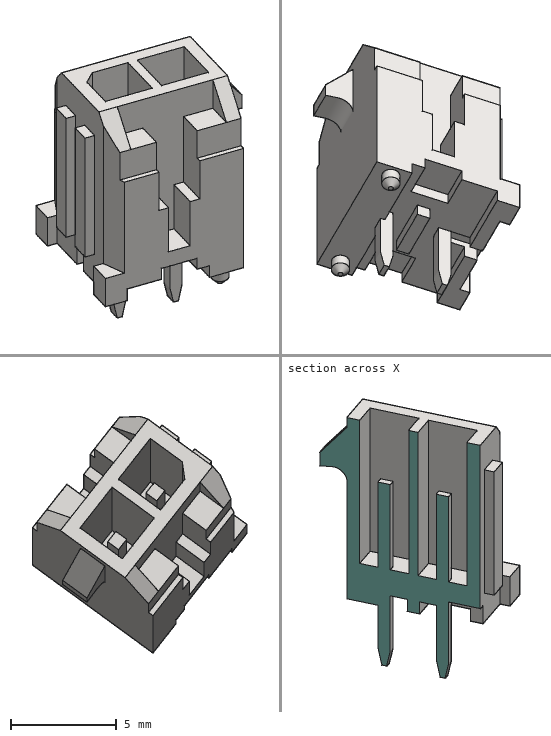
import cadquery as cq


width = 7.15
depth = 6.86
height = 9.88
shoulder_width = 6.62
ledge_z = 6.73
shelf_z = 8.27
core_width = 3.84
bevel_width = 1.2
bevel_depth = 0.5
front_flat_width = width - 2 * bevel_width

mid_y = depth / 2
shelf_front_y = 0.98
shelf_back_y = 6.07
wide_slot_width = 2.17
wide_slot_z = 4.58
narrow_slot_width = 1.15
narrow_slot_z = 2.1
base_notch_width = 1.9
base_notch_top = 1.27

channel_front_y = 0.65
channel_back_y = 5.04
channel_height = 0.65

contact_mid_y = 3.44
contact_pitch = 3.0
contact_ys = [contact_mid_y - contact_pitch / 2, contact_mid_y + contact_pitch / 2]
socket_size = 2.5
socket_floor_z = narrow_slot_z
socket_key = 0.6
pin_size = 0.64
pin_top_z = ledge_z
pin_bottom_z = -3.21
pin_taper_z = -2.35
pin_tip = 0.26
groove_top = 0.98
divider_length = socket_size
divider_thickness = pin_size

front_projection = 0.51
foot_height = 1.6
rib_width = 1.01
rib_offset = 0.97
rib_top_z = 8.3

latch_width = 1.44
latch_reach = 1.4
latch_top_z = 9.35
latch_nose_top_z = 7.67
latch_nose_bottom_z = 6.92
latch_arc_reach = 0.76
latch_arc_z = 7.02
latch_root_z = 6.4

peg_x = 3.0
peg_y = 5.89
peg_radius = 0.43
peg_tip_radius = 0.12
peg_straight = 0.54
peg_length = 0.86


def block(x0, x1, y0, y1, z0, z1):
    """Box between opposite corners."""
    return cq.Workplane("XY").box(x1 - x0, y1 - y0, z1 - z0, centered=False).translate((x0, y0, z0))


def centred_block(size_x, y0, y1, z0, z1):
    """Box centred on the mid-plane."""
    return block(-size_x / 2, size_x / 2, y0, y1, z0, z1)


def make_housing():
    """Stepped, sloped front outline with bevelled front vertical corners."""
    half_outline = [
        (0, 0),
        (width / 2, 0),
        (width / 2, ledge_z),
        (shoulder_width / 2, ledge_z),
        (shoulder_width / 2, shelf_z),
        (core_width / 2, height),
        (0, height),
    ]
    half = cq.Workplane("XZ").polyline(half_outline).close().extrude(-depth)
    bevel = (
        cq.Workplane("XY")
        .polyline([(front_flat_width / 2, 0), (width / 2, 0), (width / 2, bevel_depth)])
        .close()
        .extrude(height)
    )
    half = half.cut(bevel)
    return half.union(half.mirror("YZ"))


def side_recess(side):
    """Shelf, stepped slot and base notch on one side, down to the core."""
    core = core_width / 2
    outer = width / 2

    def slot(slot_width, z0, z1):
        return block(core, outer, mid_y - slot_width / 2, mid_y + slot_width / 2, z0, z1)

    recess = (
        block(core, outer, shelf_front_y, shelf_back_y, shelf_z, height)
        .union(slot(wide_slot_width, wide_slot_z, height))
        .union(slot(narrow_slot_width, narrow_slot_z, height))
        .union(slot(base_notch_width, 0, base_notch_top))
    )
    return recess if side > 0 else recess.mirror("YZ")


def make_socket(y):
    """Square contact cavity, open at the top."""
    return centred_block(socket_size, y - socket_size / 2, y + socket_size / 2, socket_floor_z, height)


def make_keyed_socket(y):
    """Socket with its front left corner filled in."""
    return make_socket(y).edges("|Z and <X and <Y").chamfer(socket_key)


def make_pin(y):
    """Square pin whose front and back faces taper at the lower end."""
    half = pin_size / 2
    outline = [
        (y - half, pin_top_z),
        (y - half, pin_taper_z),
        (y - pin_tip / 2, pin_bottom_z),
        (y + pin_tip / 2, pin_bottom_z),
        (y + half, pin_taper_z),
        (y + half, pin_top_z),
    ]
    return cq.Workplane("YZ").polyline(outline).close().extrude(half, both=True)


def make_foot(side):
    """Front corner foot that also fills the base of the corner bevel."""
    foot = block(front_flat_width / 2, width / 2, -front_projection, channel_front_y, 0, foot_height)
    return foot if side > 0 else foot.mirror("YZ")


def make_rib(side):
    """Upright rib on the front face."""
    x = side * rib_offset
    return block(x - rib_width / 2, x + rib_width / 2, -front_projection, 0, foot_height, rib_top_z)


def make_latch():
    """Ramp with a hooked, rounded underside."""
    return (
        cq.Workplane("YZ")
        .moveTo(depth, latch_top_z)
        .lineTo(depth + latch_reach, latch_nose_top_z)
        .lineTo(depth + latch_reach, latch_nose_bottom_z)
        .lineTo(depth + latch_arc_reach, latch_arc_z)
        .tangentArcPoint((depth, latch_root_z), relative=False)
        .close()
        .extrude(latch_width / 2, both=True)
    )


def make_peg(side):
    """Round peg with a conical tip."""
    outline = [
        (0, 0),
        (peg_radius, 0),
        (peg_radius, -peg_straight),
        (peg_tip_radius, -peg_length),
        (0, -peg_length),
    ]
    peg = cq.Workplane("XZ").polyline(outline).close().revolve(360, (0, 0), (0, 1))
    return peg.translate((side * peg_x, peg_y, 0))


front_y, back_y = contact_ys

result = make_housing()
for side in (-1, 1):
    result = result.cut(side_recess(side))
    result = result.union(make_foot(side))
    result = result.union(make_rib(side))
    result = result.union(make_peg(side))

result = result.cut(centred_block(width, channel_front_y, channel_back_y, 0, channel_height))
result = result.cut(centred_block(pin_size, 0, front_y, 0, groove_top))
result = result.union(
    centred_block(
        divider_length,
        contact_mid_y - divider_thickness / 2,
        contact_mid_y + divider_thickness / 2,
        0,
        channel_height,
    )
)

result = result.cut(make_keyed_socket(front_y)).cut(make_socket(back_y))
for y in contact_ys:
    result = result.union(make_pin(y))
result = result.union(make_latch())